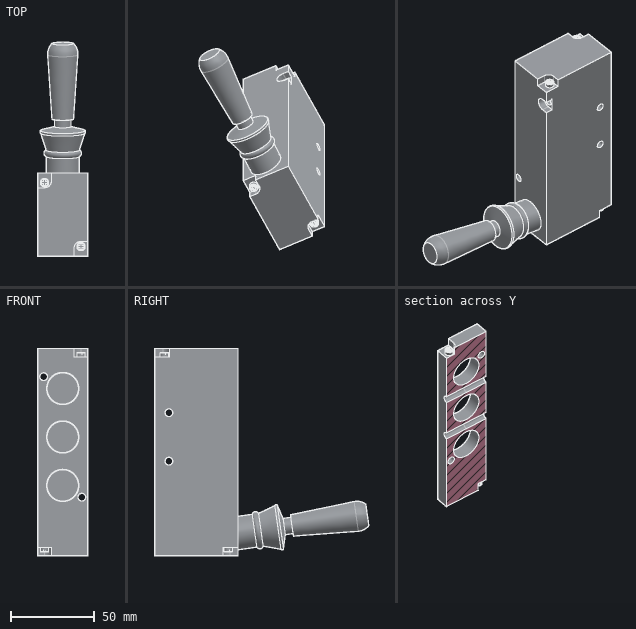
import cadquery as cq
import math

BODY_WIDTH = 30.0
BODY_DEPTH = 50.0
BODY_HEIGHT = 124.0
OVERALL_DEPTH = 128.1
HALF_WIDTH = BODY_WIDTH / 2
FRONT_Y = -BODY_DEPTH / 2
BACK_Y = BODY_DEPTH / 2

PORT_PITCH = 29.0
PORT_MIDDLE_Z = 71.1
PORT_MOUTH_DIAMETER = 19.3
PORT_FLOOR_DIAMETER = 18.7
PORT_DEPTH = 10.0

FRONT_HOLE_DIAMETER = 4.5
FRONT_HOLE_X = 11.4
FRONT_HOLE_RISE = 36.0
SIDE_HOLE_DIAMETER = 4.5
SIDE_HOLE_INSET = 8.6
NOTCH_WIDTH = 8.0
NOTCH_DEPTH = 4.5

POCKET_X = 8.2
POCKET_Y = 9.0
POCKET_DEPTH = 5.1
POCKET_RADIUS = 4.0
SCREW_INSET_X = 4.1
SCREW_INSET_Y = 5.9
SCREW_HEAD_DIAMETER = 5.0
SCREW_HEAD_HEIGHT = 2.8
SCREW_EDGE_CHAMFER = 0.4
RECESS_SPAN = 3.5
RECESS_ARM = 1.2
RECESS_DEPTH = 1.3

HANDLE_TILT = 8.0
HANDLE_AXIS_Z = 13.7
HANDLE_ROOT_DEPTH = 2.5
COLLAR_RADIUS = 10.0
RING_POSITION = 11.8
RING_HALF_WIDTH = 1.9
RING_RADIUS = 11.3
BELL_RIM_POSITION = 24.0
BELL_RIM_WIDTH = 1.5
BELL_RIM_EDGE_RADIUS = 13.3
BELL_RIM_RADIUS = 13.7
BELL_END = 27.8
NECK_RADIUS = 5.0
GRIP_START = 32.4
GRIP_START_RADIUS = 6.5
GRIP_SHOULDER = 71.2
GRIP_SHOULDER_RADIUS = 9.1
GRIP_TIP_RADIUS = 6.5


def make_ports():
    """Three tapered port cavities in a vertical row."""
    cavities = cq.Workplane("XY")
    for step in (-1, 0, 1):
        cavity = cq.Solid.makeCone(
            PORT_MOUTH_DIAMETER / 2,
            PORT_FLOOR_DIAMETER / 2,
            PORT_DEPTH,
            pnt=cq.Vector(0, FRONT_Y, PORT_MIDDLE_Z + step * PORT_PITCH),
            dir=cq.Vector(0, 1, 0),
        )
        cavities = cavities.add(cavity)
    return cavities.combine()


def make_front_holes():
    """Two diagonal holes running front to back."""
    spots = [
        (side * FRONT_HOLE_X, PORT_MIDDLE_Z - side * FRONT_HOLE_RISE)
        for side in (-1, 1)
    ]
    return (
        cq.Workplane("XZ")
        .pushPoints(spots)
        .circle(FRONT_HOLE_DIAMETER / 2)
        .extrude(BODY_DEPTH / 2, both=True)
    )


def make_side_holes():
    """Two holes running across the width, level with the webs between ports."""
    spots = [
        (FRONT_Y + SIDE_HOLE_INSET, PORT_MIDDLE_Z + side * PORT_PITCH / 2)
        for side in (-1, 1)
    ]
    return (
        cq.Workplane("YZ")
        .pushPoints(spots)
        .circle(SIDE_HOLE_DIAMETER / 2)
        .extrude(HALF_WIDTH, both=True)
    )


def make_notch():
    """Round-ended notch around the upper front hole, open to the back and -X sides."""
    center_z = PORT_MIDDLE_Z + FRONT_HOLE_RISE
    end_x = -FRONT_HOLE_X + NOTCH_WIDTH / 2
    slot_length = BODY_WIDTH
    return (
        cq.Workplane("XZ", origin=(end_x - slot_length / 2, BACK_Y, center_z))
        .slot2D(slot_length, NOTCH_WIDTH)
        .extrude(NOTCH_DEPTH)
    )


def make_pocket():
    """Pocket in the top corner at +X, -Y with its inner corner rounded."""
    pocket = cq.Workplane("XY").box(
        POCKET_X, POCKET_Y, POCKET_DEPTH, centered=False
    )
    pocket = pocket.edges("|Z and <X and >Y").fillet(POCKET_RADIUS)
    return pocket.translate((HALF_WIDTH - POCKET_X, FRONT_Y, BODY_HEIGHT - POCKET_DEPTH))


def make_screw_head():
    """Cross-recessed screw head standing on the floor of the +X, -Y top pocket."""
    head = (
        cq.Workplane("XY")
        .circle(SCREW_HEAD_DIAMETER / 2)
        .extrude(SCREW_HEAD_HEIGHT)
        .faces(">Z")
        .chamfer(SCREW_EDGE_CHAMFER)
    )
    recess_plane = cq.Workplane("XY", origin=(0, 0, SCREW_HEAD_HEIGHT - RECESS_DEPTH))
    for length, width in ((RECESS_SPAN, RECESS_ARM), (RECESS_ARM, RECESS_SPAN)):
        head = head.cut(recess_plane.rect(length, width).extrude(RECESS_DEPTH))
    return head.translate(
        (
            HALF_WIDTH - SCREW_INSET_X,
            FRONT_Y + SCREW_INSET_Y,
            BODY_HEIGHT - POCKET_DEPTH,
        )
    )


def at_four_corners(feature):
    """Copies of a top corner feature: two diagonal on top, two turned over below."""
    middle = (0, 0, BODY_HEIGHT / 2)
    copies = []
    for flip in (0, 180):
        flipped = feature.rotate(middle, (0, 1, BODY_HEIGHT / 2), flip)
        for turn in (0, 180):
            copies.append(flipped.rotate((0, 0, 0), (0, 0, 1), turn))
    return copies


def make_handle():
    """Turned handle about its own axis, tilted upward toward its tip."""
    tilt = math.radians(HANDLE_TILT)
    reach = OVERALL_DEPTH - BODY_DEPTH
    length = (reach - GRIP_TIP_RADIUS * math.sin(tilt)) / math.cos(tilt)

    profile = (
        cq.Workplane("XY")
        .moveTo(0, -HANDLE_ROOT_DEPTH)
        .lineTo(COLLAR_RADIUS, -HANDLE_ROOT_DEPTH)
        .lineTo(COLLAR_RADIUS, RING_POSITION - RING_HALF_WIDTH)
        .threePointArc(
            (RING_RADIUS, RING_POSITION),
            (COLLAR_RADIUS, RING_POSITION + RING_HALF_WIDTH),
        )
        .lineTo(BELL_RIM_EDGE_RADIUS, BELL_RIM_POSITION)
        .threePointArc(
            (BELL_RIM_RADIUS, BELL_RIM_POSITION + BELL_RIM_WIDTH / 2),
            (BELL_RIM_EDGE_RADIUS, BELL_RIM_POSITION + BELL_RIM_WIDTH),
        )
        .lineTo(NECK_RADIUS, BELL_END)
        .lineTo(NECK_RADIUS, GRIP_START)
        .lineTo(GRIP_START_RADIUS, GRIP_START)
        .lineTo(GRIP_SHOULDER_RADIUS, GRIP_SHOULDER)
        .tangentArcPoint((GRIP_TIP_RADIUS, length), relative=False)
        .lineTo(0, length)
        .close()
    )
    handle = profile.revolve(360, (0, 0), (0, 1))
    handle = handle.rotate((0, 0, 0), (1, 0, 0), HANDLE_TILT)
    return handle.translate((0, BACK_Y, HANDLE_AXIS_Z))


result = cq.Workplane("XY").box(
    BODY_WIDTH, BODY_DEPTH, BODY_HEIGHT, centered=(True, True, False)
)
result = result.cut(make_ports())
result = result.cut(make_front_holes())
result = result.cut(make_side_holes())
result = result.cut(make_notch())
for corner_pocket in at_four_corners(make_pocket()):
    result = result.cut(corner_pocket)
for screw_head in at_four_corners(make_screw_head()):
    result = result.union(screw_head)
result = result.union(make_handle())